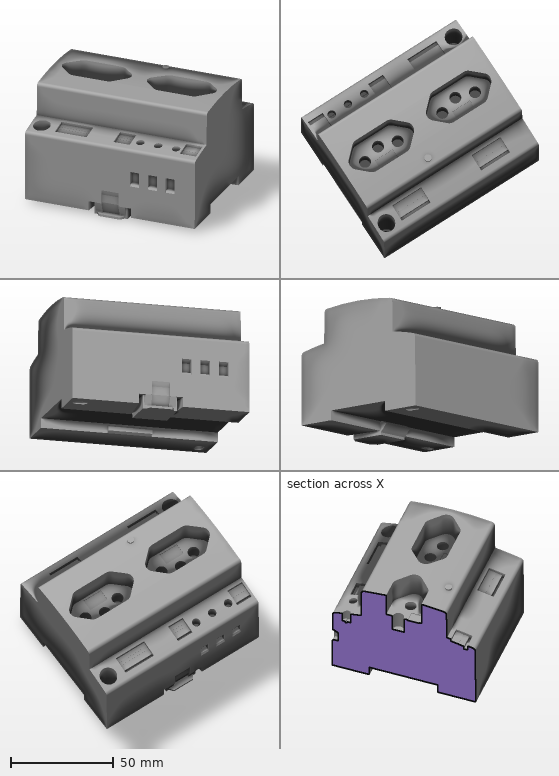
import cadquery as cq
import math


length = 90.0
base_half = 37.5
base_draft = 0.3
tower_half = 22.5
tower_draft = 0.3
crown_radius = 155.7
roof_apex = 57.2
shoulder_apex = 40.5
edge_radius = 1.8

rail_rear = 17.55
rail_front = -17.9
rail_depth = 4.9
hook_reach = 1.9
hook_top = 3.9
hook_bevel = 0.9

clip_half = 8.7
clip_wall = 0.8
clip_bottom = -1.9
clip_front = -35.8
clip_floor = 1.2
recess_half_front = 11.2
recess_half_back = 9.45
nose_reach = 3.7
nose_tip_height = 3.4
nose_back_reach = 1.1
nose_bottom = -0.6
tongue_tip = -38.0
tongue_tip_half = 5.6
tongue_root_half = 7.2
pad_front = -37.4
pad_lean = 1.8
finger_half = 4.5
finger_top = 12.2
finger_shelf = 9.4
finger_knee = 5.2
finger_depth = 0.9
finger_back = -34.8

socket_pitch = 45.0
socket_half_width = 9.2
socket_half_apex = 20.2
socket_corner_radius = 4.1
socket_half_flat = 10.4
socket_floor = 44.1
pin_diameter = 5.85
pin_pitch = 19.0
earth_offset = -3.0
pin_depth = 9.0
shutter_length = 10.3
shutter_width = 6.0
shutter_centre = 5.1
shutter_depth = 0.4

lamp_x = 6.7
lamp_y = 17.4
lamp_diameter = 3.5
lamp_top = 57.15

window_inner = 24.6
window_outer = 33.1
window_lid_outer = 31.3
window_crease = 28.35
window_second_crease = 26.7
window_lid_depth = 1.35
window_lid_step = 0.1
window_gap_depth = 3.15
long_window = 16.7
short_window = 8.55
rear_window_centres = (-22.5, 23.7)
front_window_centre = -22.5
middle_window_centre = 4.4
end_window_centre = 39.5

terminal_centres = (13.05, 22.5, 31.95)
screw_y = -30.0
screw_diameter = 4.1
screw_sink = 5.4
screw_slot_width = 0.7
screw_slot_depth = 0.7
entry_width = 4.8
entry_top = 24.6
entry_bottom = 16.6
entry_depth = 3.1
entry_roof_drop = 1.6
entry_sill_rise = 1.2
entry_sill_run = 0.8

mount_x = 39.1
mount_y = 30.15
mount_bore = 8.6
mount_slot_length = 7.4
mount_slot_width = 4.5
mount_flange = 3.6

clearance = 0.9
above = roof_apex + clearance


def crown_height(apex, y):
    """Height of a crowned surface at distance y from the centre plane."""
    return apex - crown_radius + math.sqrt(crown_radius**2 - y**2)


def extrude_along_x(points, half_width, centre=0.0):
    """Prism with a (Y, Z) outline, centred on X = centre."""
    outline = cq.Workplane("YZ", origin=(centre, 0, 0)).polyline(points).close()
    return outline.extrude(half_width, both=True)


def block(x_range, y_range, z_range):
    """Box given by its limits on each axis."""
    size = [limits[1] - limits[0] for limits in (x_range, y_range, z_range)]
    corner = (x_range[0], y_range[0], z_range[0])
    return cq.Workplane("XY").box(*size, centered=False).translate(corner)


def cylinder(x, y, diameter, bottom, top):
    """Upright cylinder between two heights."""
    return cq.Workplane("XY", origin=(x, y, bottom)).circle(diameter / 2).extrude(top - bottom)


def make_housing():
    """Stepped body with crowned roof and shoulders and rounded long edges."""
    shoulder_half = base_half - base_draft
    roof_half = tower_half - tower_draft
    eave = crown_height(shoulder_apex, shoulder_half)
    valley = crown_height(shoulder_apex, tower_half)
    roof_edge = crown_height(roof_apex, roof_half)
    mid_y = (shoulder_half + tower_half) / 2
    mid_z = crown_height(shoulder_apex, mid_y)
    body = (
        cq.Workplane("YZ")
        .moveTo(-base_half, 0)
        .lineTo(-shoulder_half, eave)
        .threePointArc((-mid_y, mid_z), (-tower_half, valley))
        .lineTo(-roof_half, roof_edge)
        .threePointArc((0, roof_apex), (roof_half, roof_edge))
        .lineTo(tower_half, valley)
        .threePointArc((mid_y, mid_z), (shoulder_half, eave))
        .lineTo(base_half, 0)
        .close()
        .extrude(length / 2, both=True)
    )
    for y, z in ((shoulder_half, eave), (roof_half, roof_edge)):
        for side in (-1, 1):
            corner = cq.selectors.NearestToPointSelector((0, side * y, z))
            body = body.edges(corner).fillet(edge_radius)
    rail = block((-length, length), (rail_front, rail_rear), (-clearance, rail_depth))
    return body.cut(rail)


def make_hook():
    """Fixed bevelled hook on the rear wall of the rail slot."""
    tip = rail_rear - hook_reach
    points = [
        (rail_rear, 0),
        (tip, hook_bevel),
        (tip, hook_top - hook_bevel),
        (rail_rear, hook_top),
    ]
    return extrude_along_x(points, recess_half_front)


def make_clip_recess():
    """Tapered opening for the clip, from the front wall to the rail slot."""
    points = [
        (-recess_half_front, -base_half),
        (recess_half_front, -base_half),
        (recess_half_back, rail_front),
        (-recess_half_back, rail_front),
    ]
    return cq.Workplane("XY").polyline(points).close().extrude(rail_depth)


def make_clip():
    """Spring clip: leaning pad in front, rail nose at the back, pull tongue below the pad."""
    floor_top = clip_bottom + clip_floor
    nose_tip = rail_front + nose_reach
    body = extrude_along_x(
        [
            (clip_front, clip_bottom),
            (rail_front, clip_bottom),
            (rail_front, nose_bottom),
            (nose_tip, nose_tip_height),
            (rail_front + nose_back_reach, rail_depth),
            (clip_front, rail_depth),
        ],
        clip_half,
    )
    pad = extrude_along_x(
        [
            (rail_front, rail_depth),
            (pad_front, rail_depth),
            (pad_front + pad_lean, floor_top),
            (rail_front, floor_top),
        ],
        clip_half - clip_wall,
    )
    tongue = (
        cq.Workplane("XY", origin=(0, 0, clip_bottom))
        .polyline(
            [
                (-tongue_root_half, clip_front),
                (-tongue_tip_half, tongue_tip),
                (tongue_tip_half, tongue_tip),
                (tongue_root_half, clip_front),
            ]
        )
        .close()
        .extrude(clip_floor)
    )
    return body.union(pad).union(tongue)


def make_finger_recess():
    """Shallow finger hollow above the tongue, deepening down through the clip."""
    back = -base_half + finger_depth
    floor_top = clip_bottom + clip_floor
    points = [
        (-base_half - clearance, finger_top),
        (-base_half, finger_top),
        (back, finger_shelf),
        (back, finger_knee),
        (finger_back, floor_top),
        (-base_half - clearance, floor_top),
    ]
    return extrude_along_x(points, finger_half)


def make_socket_cavity(x):
    """Hexagonal well with pin holes and a shutter recess in its floor."""
    outline = [
        (-socket_half_apex, 0),
        (-socket_half_flat, socket_half_width),
        (socket_half_flat, socket_half_width),
        (socket_half_apex, 0),
        (socket_half_flat, -socket_half_width),
        (-socket_half_flat, -socket_half_width),
    ]
    cavity = (
        cq.Workplane("XY")
        .polyline(outline)
        .close()
        .extrude(above - socket_floor)
        .edges("|Z")
        .fillet(socket_corner_radius)
        .translate((x, 0, socket_floor))
    )
    pins = ((-pin_pitch / 2, 0), (0, earth_offset), (pin_pitch / 2, 0))
    for pin_x, pin_y in pins:
        hole = cylinder(x + pin_x, pin_y, pin_diameter, socket_floor - pin_depth, above)
        cavity = cavity.union(hole)
    shutter = block(
        (x - shutter_length / 2, x + shutter_length / 2),
        (shutter_centre - shutter_width / 2, shutter_centre + shutter_width / 2),
        (socket_floor - shutter_depth, socket_floor + clearance),
    )
    return cavity.union(shutter)


def make_window(centre, width, side, creases):
    """Marking window: stepped lid parallel to the shoulder, with an open outer gap.

    side is -1 for the front shoulder and 1 for the rear one.
    """
    points = [(window_inner, above)]
    depth = window_lid_depth
    start = window_inner
    for end in list(creases) + [window_lid_outer]:
        for y in (start, end):
            points.append((y, crown_height(shoulder_apex, y) - depth))
        depth += window_lid_step
        start = end
    gap_floor = crown_height(shoulder_apex, window_lid_outer) - window_gap_depth
    points.append((window_lid_outer, gap_floor))
    points.append((window_outer, gap_floor))
    points.append((window_outer, above))
    placed = [(side * y, z) for y, z in points]
    return extrude_along_x(placed, width / 2, centre)


def make_screw_well(x):
    """Round well with a slotted screw head at its bottom."""
    bottom = crown_height(shoulder_apex, screw_y) - screw_sink
    well = cylinder(x, screw_y, screw_diameter, bottom, above)
    groove = block(
        (x - screw_diameter / 2, x + screw_diameter / 2),
        (screw_y - screw_slot_width / 2, screw_y + screw_slot_width / 2),
        (bottom - screw_slot_depth, bottom),
    )
    head = cylinder(x, screw_y, screw_diameter, bottom - screw_slot_depth, bottom)
    return well.union(groove.intersect(head))


def make_wire_entry(x):
    """Wire opening in the front wall with a falling roof and a sloped sill."""
    back = -base_half + entry_depth
    floor = entry_bottom + entry_sill_rise
    points = [
        (-base_half, entry_bottom),
        (-base_half + entry_sill_run, floor),
        (back, floor),
        (back, entry_top - entry_roof_drop),
        (-base_half, entry_top),
    ]
    return extrude_along_x(points, entry_width / 2, x)


def make_mount_hole(x, y, slot_angle):
    """Wide bore down to a flange that is pierced by a slot."""
    slot = (
        cq.Workplane("XY", origin=(x, y, -clearance))
        .slot2D(mount_slot_length, mount_slot_width, slot_angle)
        .extrude(mount_flange + 2 * clearance)
    )
    return cylinder(x, y, mount_bore, mount_flange, above).union(slot)


result = make_housing().cut(make_clip_recess())
result = result.union(make_hook()).union(make_clip()).cut(make_finger_recess())

for socket_x in (-socket_pitch / 2, socket_pitch / 2):
    result = result.cut(make_socket_cavity(socket_x))

result = result.union(cylinder(lamp_x, lamp_y, lamp_diameter, socket_floor, lamp_top))

for window_x in rear_window_centres:
    result = result.cut(make_window(window_x, long_window, 1, [window_crease]))
two_creases = [window_second_crease, window_crease]
result = result.cut(make_window(front_window_centre, long_window, -1, two_creases))
result = result.cut(make_window(middle_window_centre, short_window, -1, two_creases))
result = result.cut(make_window(end_window_centre, short_window, -1, [window_crease]))

for terminal_x in terminal_centres:
    result = result.cut(make_screw_well(terminal_x))
    result = result.cut(make_wire_entry(terminal_x))

result = result.cut(make_mount_hole(-mount_x, -mount_y, 0))
result = result.cut(make_mount_hole(mount_x, mount_y, 90))